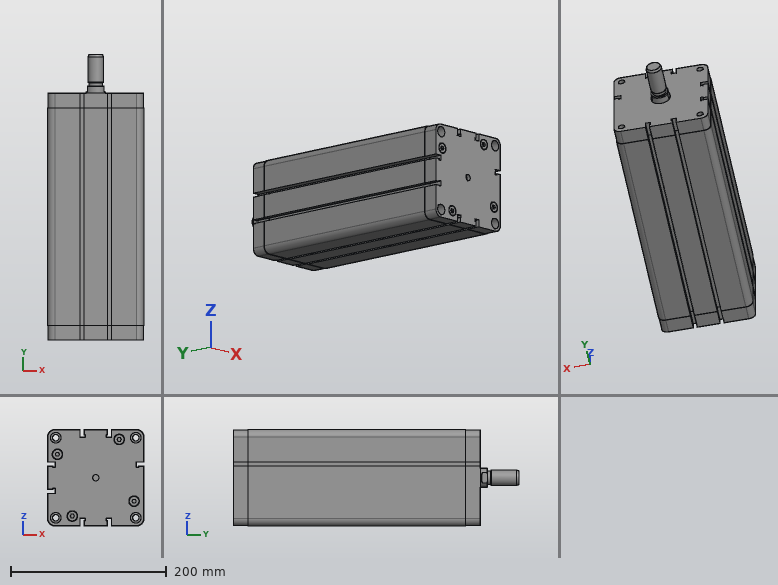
import cadquery as cq


barrel_side = 124.0
cap_side = 122.8
flat_half_width = 52.5
cap_length = 19.0
overall_length = 366.5
rod_reach = 50.0
body_length = overall_length - rod_reach
barrel_length = body_length - 2 * cap_length

slot_outer = 20.0
slot_mouth = 15.0
slot_undercut = 13.5
slot_floor = 52.0
barrel_slot_floor = 51.5
undercut_top = 55.0

mount_offset = 51.3
mount_diameter = 8.0
mount_bore_diameter = 13.5
mount_bore_depth = cap_length

screw_near_offset = 30.0
screw_far_offset = 49.0
screw_bore_diameter = 13.5
screw_head_diameter = 12.5
screw_gap_depth = 3.0
socket_corner_diameter = 5.5
socket_depth = 3.0

centre_hole_diameter = 8.0
centre_hole_depth = 5.5

collar_diameter = 25.0
collar_length = 9.5
collar_chamfer = 1.0
collar_flats = 21.3
flats_length = 7.7
flats_end_radius = 1.0
neck_diameter = 17.5
neck_length = 3.5
thread_diameter = 20.0
thread_chamfer = 3.3
thread_root_chamfer = 1.0
thread_length = rod_reach - collar_length - neck_length
thread_depth = (thread_diameter - neck_diameter) / 2


def block(side, y_start, length):
    """Square bar along +Y with rounded long edges."""
    return (
        cq.Workplane("XZ", origin=(0, y_start, 0))
        .rect(side, side)
        .extrude(-length)
        .edges("|Y")
        .fillet(side / 2 - flat_half_width)
    )


def rod_section(diameter, y_start, length):
    """Cylinder on the body axis, extending along +Y."""
    return cq.Workplane("XZ", origin=(0, y_start, 0)).circle(diameter / 2).extrude(-length)


def rear_holes(points, diameter, depth):
    """Cutters for round holes sunk from the rear face at y = 0."""
    return cq.Workplane("XZ").pushPoints(points).circle(diameter / 2).extrude(-depth)


def slot_section(side, face, floor, y_start, length):
    """Stretch of L-shaped slot in an upper face; side is +1 or -1 across its centre line."""
    profile = [
        (slot_outer, face),
        (slot_outer, floor),
        (slot_undercut, floor),
        (slot_undercut, undercut_top),
        (slot_mouth, undercut_top),
        (slot_mouth, face),
    ]
    return (
        cq.Workplane("XZ", origin=(0, y_start, 0))
        .polyline([(side * x, z) for x, z in profile])
        .close()
        .extrude(-length)
    )


def sensor_slot(quarter_turn, side):
    """Slot through both caps and the barrel, turned about Y onto one of the four faces."""
    cap_part = slot_section(side, cap_side / 2, slot_floor, 0, body_length)
    barrel_part = slot_section(side, barrel_side / 2, barrel_slot_floor, cap_length, barrel_length)
    return cap_part.union(barrel_part).rotate((0, 0, 0), (0, 1, 0), quarter_turn)


body = block(cap_side, 0, body_length).union(block(barrel_side, cap_length, barrel_length))

for quarter_turn in (0, 90, 180, 270):
    for side in (1, -1):
        on_lower_right = quarter_turn == 90 and side == 1
        if not on_lower_right:
            body = body.cut(sensor_slot(quarter_turn, side))

mount_points = [(x * mount_offset, z * mount_offset) for x in (1, -1) for z in (1, -1)]
body = body.cut(rear_holes(mount_points, mount_diameter, body_length))
body = body.cut(rear_holes(mount_points, mount_bore_diameter, mount_bore_depth))

screw_points = [
    (screw_near_offset, screw_far_offset),
    (screw_far_offset, -screw_near_offset),
    (-screw_near_offset, -screw_far_offset),
    (-screw_far_offset, screw_near_offset),
]
screw_gaps = rear_holes(screw_points, screw_bore_diameter, screw_gap_depth).cut(
    rear_holes(screw_points, screw_head_diameter, screw_gap_depth)
)
sockets = (
    cq.Workplane("XZ")
    .pushPoints(screw_points)
    .polygon(6, socket_corner_diameter)
    .extrude(-socket_depth)
)
body = body.cut(screw_gaps).cut(sockets)

body = body.cut(rear_holes([(0, 0)], centre_hole_diameter, centre_hole_depth))

collar_end = body_length + collar_length
collar = rod_section(collar_diameter, body_length, collar_length).faces(">Y").chamfer(collar_chamfer)
for side in (1, -1):
    flat_cutter = (
        cq.Workplane("XY")
        .box(collar_diameter, 2 * flats_length, collar_diameter)
        .edges("|Z")
        .fillet(flats_end_radius)
        .translate((side * (collar_flats + collar_diameter) / 2, collar_end, 0))
    )
    collar = collar.cut(flat_cutter)
neck = rod_section(neck_diameter, collar_end, neck_length)
thread = rod_section(thread_diameter, collar_end + neck_length, thread_length)
thread = thread.faces(">Y").chamfer(thread_chamfer, thread_depth)
thread = thread.faces("<Y").chamfer(thread_root_chamfer, thread_depth)

result = body.union(collar).union(neck).union(thread)